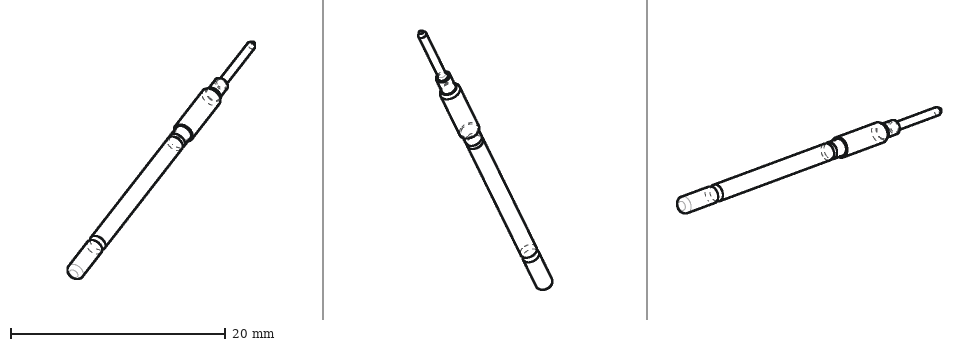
import cadquery as cq

total_length = 36.0

needle_diameter = 0.82
tip_diameter = 0.45
tip_length = 0.35
needle_length = 6.0
needle_root = total_length - needle_length

neck_diameter = 1.4
cone_large_diameter = 1.0
cone_length = 0.35
neck_front = needle_root - cone_length
neck_length = 1.65

collar_diameter = 2.0
collar_chamfer = 0.2
collar_chamfer_length = 0.4
collar_length = 6.0
collar_front = neck_front - neck_length
collar_rear = collar_front - collar_length

barrel_diameter = 1.65
rear_rounding = 0.38

front_groove_setback = 1.45
front_groove_centre = collar_rear - front_groove_setback
front_groove_width = 0.43
front_groove_depth = 0.08
rear_groove_centre = 4.5
rear_groove_width = 0.65
rear_groove_depth = 0.11


def make_body():
    """Revolve the stepped half profile about the Y axis."""
    profile = (
        cq.Workplane("XY")
        .moveTo(0, 0)
        .lineTo(barrel_diameter / 2, 0)
        .lineTo(barrel_diameter / 2, collar_rear)
        .lineTo(collar_diameter / 2, collar_rear)
        .lineTo(collar_diameter / 2, collar_front - collar_chamfer_length)
        .lineTo(collar_diameter / 2 - collar_chamfer, collar_front)
        .lineTo(neck_diameter / 2, collar_front)
        .lineTo(neck_diameter / 2, neck_front)
        .lineTo(cone_large_diameter / 2, neck_front)
        .lineTo(needle_diameter / 2, needle_root)
        .lineTo(needle_diameter / 2, total_length - tip_length)
        .lineTo(tip_diameter / 2, total_length)
        .lineTo(0, total_length)
        .close()
    )
    body = profile.revolve(360, (0, 0, 0), (0, 1, 0))
    return body.faces("<Y").edges().fillet(rear_rounding)


def make_groove(centre, width, depth):
    """Ring with an arc-shaped inner side that cuts one groove into the barrel."""
    surface = barrel_diameter / 2
    outside = surface + depth
    section = (
        cq.Workplane("XY")
        .moveTo(outside, centre - width / 2)
        .lineTo(surface, centre - width / 2)
        .threePointArc((surface - depth, centre), (surface, centre + width / 2))
        .lineTo(outside, centre + width / 2)
        .close()
    )
    return section.revolve(360, (0, 0, 0), (0, 1, 0))


front_groove = make_groove(front_groove_centre, front_groove_width, front_groove_depth)
rear_groove = make_groove(rear_groove_centre, rear_groove_width, rear_groove_depth)
result = make_body().cut(front_groove).cut(rear_groove)